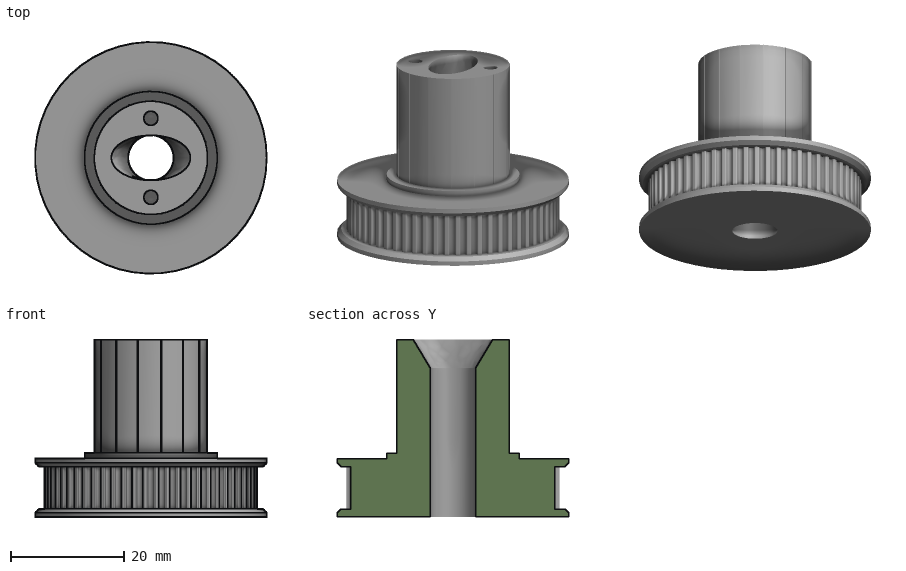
import cadquery as cq
import math


flange_diameter = 41.0
flange_thickness = 1.48
flange_chamfer = 0.7
belt_width = 7.42

tooth_count = 60
tooth_tip_diameter = 37.68
groove_radius = 0.55
corner_radius = 0.2

collar_diameter = 23.5
collar_height = 1.0
hub_diameter = 20.0
total_height = 31.4

rib_count = 15
rib_width = 0.12
rib_height = 0.1
first_rib_angle = 16.5

bore_diameter = 8.0
mouth_length = 14.0
mouth_depth = 5.0

pin_hole_diameter = 2.5
pin_hole_spacing = 14.0
pin_hole_depth = 5.0

upper_flange_base = flange_thickness + belt_width
collar_base = upper_flange_base + flange_thickness
hub_base = collar_base + collar_height


def cylinder(diameter, base, height):
    return cq.Workplane("XY").workplane(offset=base).circle(diameter / 2).extrude(height)


def polar_point(radius, angle):
    return (radius * math.cos(angle), radius * math.sin(angle))


def toothed_rim():
    tip_radius = tooth_tip_diameter / 2
    pitch_angle = 2 * math.pi / tooth_count
    corner_center_radius = tip_radius - corner_radius
    corner_angle = math.asin((groove_radius + corner_radius) / corner_center_radius)
    groove_center_radius = corner_center_radius * math.cos(corner_angle)
    flank_radius = math.hypot(groove_center_radius, groove_radius)
    flank_angle = math.atan2(groove_radius, groove_center_radius)
    corner_mid_turn = (math.pi / 2 + corner_angle) / 2
    corner_mid_x = groove_center_radius + corner_radius * math.sin(corner_mid_turn)
    corner_mid_y = groove_radius + corner_radius * (1 - math.cos(corner_mid_turn))
    corner_mid_radius = math.hypot(corner_mid_x, corner_mid_y)
    corner_mid_angle = math.atan2(corner_mid_y, corner_mid_x)

    outline = (
        cq.Workplane("XY")
        .workplane(offset=flange_thickness)
        .moveTo(*polar_point(tip_radius, -corner_angle))
    )
    for tooth in range(tooth_count):
        groove_angle = tooth * pitch_angle
        next_groove_angle = groove_angle + pitch_angle
        outline = (
            outline.threePointArc(
                polar_point(corner_mid_radius, groove_angle - corner_mid_angle),
                polar_point(flank_radius, groove_angle - flank_angle),
            )
            .threePointArc(
                polar_point(groove_center_radius - groove_radius, groove_angle),
                polar_point(flank_radius, groove_angle + flank_angle),
            )
            .threePointArc(
                polar_point(corner_mid_radius, groove_angle + corner_mid_angle),
                polar_point(tip_radius, groove_angle + corner_angle),
            )
            .threePointArc(
                polar_point(tip_radius, groove_angle + pitch_angle / 2),
                polar_point(tip_radius, next_groove_angle - corner_angle),
            )
        )
    return outline.close().extrude(belt_width)


def hub():
    hub_height = total_height - hub_base
    body = cylinder(hub_diameter, hub_base, hub_height)
    ribs = (
        cq.Workplane("XY")
        .workplane(offset=hub_base)
        .polarArray(hub_diameter / 2, first_rib_angle, 360, rib_count)
        .rect(2 * rib_height, rib_width)
        .extrude(hub_height)
    )
    return body.union(ribs)


def flared_mouth():
    return (
        cq.Workplane("XY")
        .workplane(offset=total_height - mouth_depth)
        .ellipse(bore_diameter / 2, bore_diameter / 2)
        .workplane(offset=mouth_depth)
        .ellipse(mouth_length / 2, bore_diameter / 2)
        .loft(ruled=True)
    )


def pin_holes():
    return (
        cq.Workplane("XY")
        .workplane(offset=total_height - pin_hole_depth)
        .rarray(0.4, pin_hole_spacing, 1, 2)
        .circle(pin_hole_diameter / 2)
        .extrude(pin_hole_depth)
    )


lower_flange = cylinder(flange_diameter, 0, flange_thickness).faces(">Z").chamfer(flange_chamfer)
upper_flange = (
    cylinder(flange_diameter, upper_flange_base, flange_thickness).faces("<Z").chamfer(flange_chamfer)
)

result = (
    lower_flange.union(toothed_rim())
    .union(upper_flange)
    .union(cylinder(collar_diameter, collar_base, collar_height))
    .union(hub())
    .cut(cylinder(bore_diameter, 0, total_height))
    .cut(flared_mouth())
    .cut(pin_holes())
)